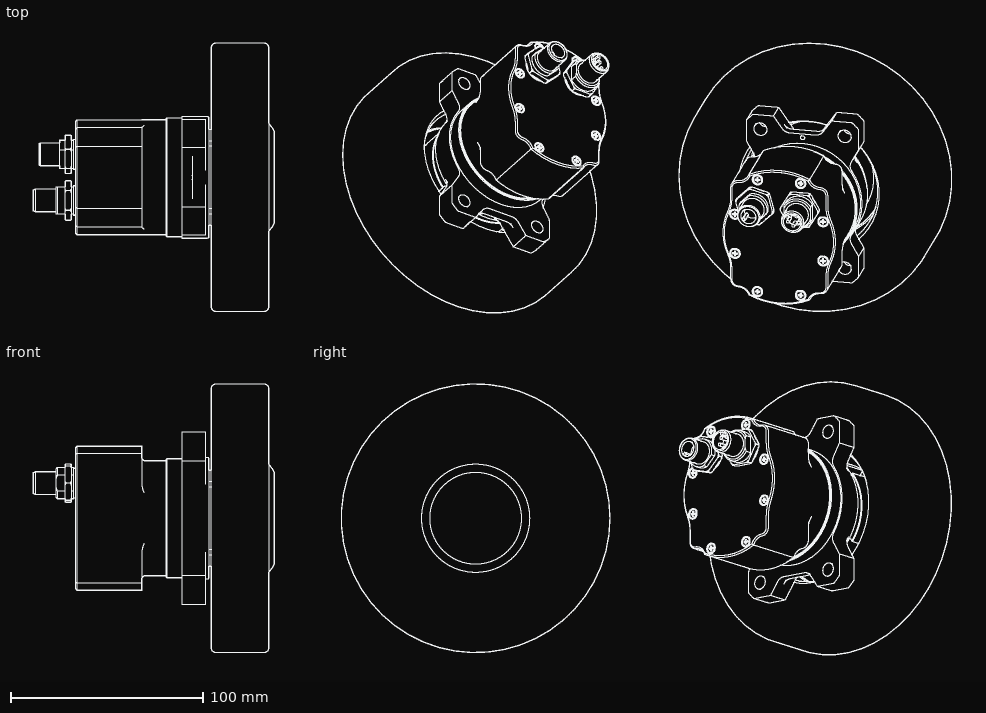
import cadquery as cq
import math


WHEEL_RADIUS = 70.0
WHEEL_WIDTH = 30.0
WHEEL_EDGE_FILLET = 2.5
RECESS_RIM_RADIUS = 37.5
RECESS_WALL_RADIUS = 36.0
RECESS_RIM_DEPTH = 3.0
RECESS_DEPTH = 20.0
RECESS_FLOOR_GROOVE_WIDTH = 0.9
RECESS_FLOOR_GROOVE_DEPTH = 1.0
CAP_BASE_RADIUS = 28.2
CAP_BEND_RADIUS = 25.6
CAP_FACE_RADIUS = 23.9
CAP_BEND_HEIGHT = 2.0
CAP_HEIGHT = 2.9

HUB_RADIUS = 30.0
HUB_FRONT_X = 3.6
HUB_CHAMFER = 0.3
NECK_RADIUS = 25.0
HUB_GROOVE_COUNT = 4
HUB_GROOVE_DIAMETER = 8.0
HUB_GROOVE_CIRCLE_RADIUS = 28.4

FLANGE_BACK_X = -1.2
FLANGE_FRONT_X = -15.2
FLANGE_RADIUS = 31.75
FLANGE_EDGE_FILLET = 0.8
LUG_THICKNESS = 12.3
LUG_SPAN_Y = 60.0
LUG_SPAN_Z = 90.0
LUG_CORNER = 3.5
LUG_CORNER_FILLET = 1.2
LUG_ROOT_FILLET = 5.0
LUG_FLANK_TOP_Z = 29.8
LUG_FLANK_ANGLE = 60.0
LUG_HOLE_DIAMETER = 7.0
LUG_HOLE_SPACING_Y = 45.0
LUG_HOLE_SPACING_Z = 74.0
NOTCH_WIDTH = 31.0
NOTCH_FLANK_ANGLE = 55.0
NOTCH_TAB_Z = 36.3
NOTCH_FLOOR_Z = 31.5
NOTCH_TAB_THICKNESS = 5.4
TAB_HOLE_DIAMETER = 2.2
TAB_HOLE_Z = 34.2

HOUSING_FRONT_X = -70.7
COLLAR_FRONT_X = -23.4
COLLAR_RADIUS = 31.0
COLLAR_CHAMFER = 0.4
HOUSING_RADIUS = 30.0
HOUSING_EDGE_CHAMFER = 0.8
SHELL_RADIUS = 37.5
SHELL_BACK_X = -36.1
SHELL_BACK_FILLET = 1.7
SHELL_HALF_WIDTH = 25.9
SHELL_ARC_END_Y = 16.2
SHELL_SHOULDER_Z = 29.8
SHELL_SHOULDER_RADIUS = 6.0
SHELL_CORNER_RADIUS = 4.0
SHELL_FLANK_RADIUS = 20.0

SCREW_POSITIONS = [(11.5, 31.4), (23.5, 11.0)]
SCREW_RECESS_DIAMETER = 5.5
SCREW_HEAD_DIAMETER = 4.7
SCREW_RECESS_DEPTH = 0.8
SCREW_CROSS_LENGTH = 2.46
SCREW_CROSS_WIDTH = 0.6

CONNECTOR_Y = 12.0
CONNECTOR_Z = 18.3
CONNECTOR_DIAMETER = 12.0
NUT_FRONT_X = -76.1
NUT_BACK_X = -72.8
NUT_ACROSS_FLATS = 18.0
NUT_CORNER_DIAMETER = 20.7
NUT_CHAMFER = 0.5
COLLAR_BACK_X = -71.6
WASHER_DIAMETER = 15.6
BORE_DEPTH = 8.0
PIN_COUNT = 5
PIN_CIRCLE_RADIUS = 3.0
PIN_DIAMETER = 1.6
PIN_LENGTH = 5.0
KEY_WIDTH = 1.5
KEY_HEIGHT = 1.2


def plane_at(x):
    """Workplane normal to +X whose local axes are Y and Z."""
    return cq.Workplane("YZ", origin=(x, 0, 0))


def cylinder(x_start, x_end, diameter, y=0.0, z=0.0):
    return plane_at(x_start).center(y, z).circle(diameter / 2).extrude(x_end - x_start)


def revolve_about_x(points):
    """Solid of revolution from an outline of (x, radius) points."""
    return cq.Workplane("XY").polyline(points).close().revolve(360, (0, 0, 0), (1, 0, 0))


def make_wheel():
    """Filleted wheel with a deep recess in its motor side and a tapered cap on the other side."""
    wheel = cylinder(0, WHEEL_WIDTH, 2 * WHEEL_RADIUS).edges().fillet(WHEEL_EDGE_FILLET)
    floor_radius = RECESS_WALL_RADIUS - RECESS_FLOOR_GROOVE_WIDTH
    groove_bottom_x = RECESS_DEPTH + RECESS_FLOOR_GROOVE_DEPTH
    recess = revolve_about_x(
        [
            (0, 0),
            (0, RECESS_RIM_RADIUS),
            (RECESS_RIM_DEPTH, RECESS_WALL_RADIUS),
            (groove_bottom_x, RECESS_WALL_RADIUS),
            (groove_bottom_x, floor_radius),
            (RECESS_DEPTH, floor_radius),
            (RECESS_DEPTH, 0),
        ]
    )
    cap = revolve_about_x(
        [
            (WHEEL_WIDTH - CAP_HEIGHT, 0),
            (WHEEL_WIDTH - CAP_HEIGHT, CAP_BASE_RADIUS),
            (WHEEL_WIDTH, CAP_BASE_RADIUS),
            (WHEEL_WIDTH + CAP_BEND_HEIGHT, CAP_BEND_RADIUS),
            (WHEEL_WIDTH + CAP_HEIGHT, CAP_FACE_RADIUS),
            (WHEEL_WIDTH + CAP_HEIGHT, 0),
        ]
    )
    return wheel.cut(recess).union(cap)


def make_hub():
    """Stepped hub with round axial grooves on its diagonals."""
    body = cylinder(HUB_FRONT_X, RECESS_DEPTH, 2 * HUB_RADIUS)
    body = body.faces("<X").edges().chamfer(HUB_CHAMFER)
    neck = cylinder(FLANGE_BACK_X, HUB_FRONT_X, 2 * NECK_RADIUS)
    grooves = (
        plane_at(FLANGE_BACK_X)
        .polarArray(HUB_GROOVE_CIRCLE_RADIUS, 45, 360, HUB_GROOVE_COUNT)
        .circle(HUB_GROOVE_DIAMETER / 2)
        .extrude(RECESS_DEPTH - FLANGE_BACK_X)
    )
    return body.union(neck).cut(grooves)


def make_notch(x_start, x_end, floor_z):
    """Flared notch between the two upper lugs, rounded where its flanks meet the floor."""
    top_z = LUG_SPAN_Z / 2
    top_half = NOTCH_WIDTH / 2
    floor_half = top_half - (top_z - floor_z) / math.tan(math.radians(NOTCH_FLANK_ANGLE))
    outline = [(-top_half, top_z), (-floor_half, floor_z), (floor_half, floor_z), (top_half, top_z)]
    notch = plane_at(x_start).polyline(outline).close().extrude(x_end - x_start)
    return notch.edges("|X").edges("<Z").fillet(LUG_ROOT_FILLET)


def make_lug_plate():
    """Four-lug plate: the flanks run inwards from the lugs to end inside the flange disc."""
    side = LUG_SPAN_Y / 2
    top = LUG_SPAN_Z / 2
    inner_y = side - LUG_FLANK_TOP_Z / math.tan(math.radians(LUG_FLANK_ANGLE))
    outline = [
        (-side, LUG_FLANK_TOP_Z),
        (-side, top - LUG_CORNER),
        (-side + LUG_CORNER, top),
        (side - LUG_CORNER, top),
        (side, top - LUG_CORNER),
        (side, LUG_FLANK_TOP_Z),
        (inner_y, 0),
        (-inner_y, 0),
    ]
    upper = plane_at(FLANGE_FRONT_X).polyline(outline).close().extrude(LUG_THICKNESS)
    corners = cq.selectors.BoxSelector(
        (FLANGE_FRONT_X, -LUG_SPAN_Y, LUG_FLANK_TOP_Z + 1), (0, LUG_SPAN_Y, LUG_SPAN_Z)
    )
    upper = upper.edges("|X").edges(corners).fillet(LUG_CORNER_FILLET)
    tab_back_x = FLANGE_FRONT_X + NOTCH_TAB_THICKNESS
    lug_back_x = FLANGE_FRONT_X + LUG_THICKNESS
    upper = upper.cut(make_notch(FLANGE_FRONT_X, tab_back_x, NOTCH_TAB_Z))
    upper = upper.cut(make_notch(tab_back_x, lug_back_x, NOTCH_FLOOR_Z))
    return upper.union(upper.mirror("XY"))


def make_flange():
    lug_back_x = FLANGE_FRONT_X + LUG_THICKNESS
    disc = cylinder(FLANGE_FRONT_X, lug_back_x, 2 * FLANGE_RADIUS)
    flange = disc.union(make_lug_plate())
    lug_roots = cq.selectors.BoxSelector(
        (FLANGE_FRONT_X, -LUG_SPAN_Y / 2, -FLANGE_RADIUS * 0.75),
        (lug_back_x, LUG_SPAN_Y / 2, FLANGE_RADIUS * 0.75),
    )
    flange = flange.edges("|X").edges(lug_roots).fillet(LUG_ROOT_FILLET)
    rim = cylinder(lug_back_x, FLANGE_BACK_X, 2 * FLANGE_RADIUS)
    flange = flange.union(rim.faces(">X").edges().fillet(FLANGE_EDGE_FILLET))
    lug_holes = (
        plane_at(FLANGE_FRONT_X)
        .rect(LUG_HOLE_SPACING_Y, LUG_HOLE_SPACING_Z, forConstruction=True)
        .vertices()
        .circle(LUG_HOLE_DIAMETER / 2)
        .extrude(LUG_THICKNESS)
    )
    tab_hole = cylinder(
        FLANGE_FRONT_X, FLANGE_FRONT_X + NOTCH_TAB_THICKNESS, TAB_HOLE_DIAMETER, 0, TAB_HOLE_Z
    )
    return flange.cut(lug_holes).cut(tab_hole)


def arc_middle(center, radius, start, end):
    """Point halfway along the short arc from start to end."""
    dy = (start[0] + end[0]) / 2 - center[0]
    dz = (start[1] + end[1]) / 2 - center[1]
    reach = math.hypot(dy, dz)
    return (center[0] + radius * dy / reach, center[1] + radius * dz / reach)


def make_shell_prism(x_end):
    """Housing cross-section with large top and bottom arcs, stepped shoulders and flat flanks."""
    top = (0, SHELL_RADIUS)
    arc_end = (SHELL_ARC_END_Y, math.sqrt(SHELL_RADIUS**2 - SHELL_ARC_END_Y**2))
    corner_center = (SHELL_HALF_WIDTH - SHELL_CORNER_RADIUS, SHELL_SHOULDER_Z - SHELL_CORNER_RADIUS)
    shoulder = (corner_center[0], SHELL_SHOULDER_Z)
    shoulder_center = (corner_center[0], SHELL_SHOULDER_Z + SHELL_SHOULDER_RADIUS)
    corner_end = (SHELL_HALF_WIDTH, corner_center[1])
    flank_y = SHELL_HALF_WIDTH + SHELL_FLANK_RADIUS
    center_distance = HOUSING_RADIUS + SHELL_FLANK_RADIUS
    flank_center = (flank_y, math.sqrt(center_distance**2 - flank_y**2))
    flank_start = (SHELL_HALF_WIDTH, flank_center[1])
    shrink = HOUSING_RADIUS / center_distance
    flank_end = (flank_center[0] * shrink, flank_center[1] * shrink)
    side = (HOUSING_RADIUS, 0)
    quarter = (
        plane_at(HOUSING_FRONT_X)
        .moveTo(*top)
        .threePointArc(arc_middle((0, 0), SHELL_RADIUS, top, arc_end), arc_end)
        .threePointArc(
            arc_middle(shoulder_center, SHELL_SHOULDER_RADIUS, arc_end, shoulder), shoulder
        )
        .threePointArc(
            arc_middle(corner_center, SHELL_CORNER_RADIUS, shoulder, corner_end), corner_end
        )
        .lineTo(*flank_start)
        .threePointArc(
            arc_middle(flank_center, SHELL_FLANK_RADIUS, flank_start, flank_end), flank_end
        )
        .threePointArc(arc_middle((0, 0), HOUSING_RADIUS, flank_end, side), side)
    )
    return quarter.mirrorX().mirrorY().extrude(x_end - HOUSING_FRONT_X)


def make_shell():
    """Prism whose back end blends into the round housing through a revolved fillet."""
    blend_end_x = SHELL_BACK_X + SHELL_BACK_FILLET
    blend_radius = HOUSING_RADIUS + SHELL_BACK_FILLET
    diagonal = SHELL_BACK_FILLET * math.sqrt(0.5)
    envelope = (
        cq.Workplane("XY")
        .moveTo(HOUSING_FRONT_X, 0)
        .lineTo(HOUSING_FRONT_X, 2 * SHELL_RADIUS)
        .lineTo(SHELL_BACK_X, 2 * SHELL_RADIUS)
        .lineTo(SHELL_BACK_X, blend_radius)
        .threePointArc(
            (blend_end_x - diagonal, blend_radius - diagonal), (blend_end_x, HOUSING_RADIUS)
        )
        .lineTo(blend_end_x, 0)
        .close()
        .revolve(360, (0, 0, 0), (1, 0, 0))
    )
    prism = make_shell_prism(blend_end_x)
    prism = prism.faces("<X").edges().chamfer(HOUSING_EDGE_CHAMFER)
    return prism.intersect(envelope)


def cut_screws(body):
    """Sunk ring and cross recess of every cover screw, in all four quadrants."""
    for side_y in (1, -1):
        for side_z in (1, -1):
            for y, z in SCREW_POSITIONS:
                face = plane_at(HOUSING_FRONT_X).center(side_y * y, side_z * z)
                ring = face.circle(SCREW_RECESS_DIAMETER / 2).circle(SCREW_HEAD_DIAMETER / 2)
                body = body.cut(ring.extrude(SCREW_RECESS_DEPTH))
                for length, width in (
                    (SCREW_CROSS_LENGTH, SCREW_CROSS_WIDTH),
                    (SCREW_CROSS_WIDTH, SCREW_CROSS_LENGTH),
                ):
                    body = body.cut(face.rect(length, width).extrude(SCREW_RECESS_DEPTH))
    return body


def make_housing():
    blend_end_x = SHELL_BACK_X + SHELL_BACK_FILLET
    barrel = cylinder(blend_end_x, COLLAR_FRONT_X, 2 * HOUSING_RADIUS)
    collar = cylinder(COLLAR_FRONT_X, FLANGE_FRONT_X, 2 * COLLAR_RADIUS)
    collar = collar.faces("<X").edges().chamfer(COLLAR_CHAMFER)
    return cut_screws(make_shell()).union(barrel).union(collar)


def make_nut(y, turn):
    """Hexagon nut with its corners cut by a chamfered cylinder."""
    length = NUT_BACK_X - NUT_FRONT_X
    corner_circle = NUT_ACROSS_FLATS / math.cos(math.radians(30))
    hexagon = plane_at(NUT_FRONT_X).polygon(6, corner_circle).extrude(length)
    hexagon = hexagon.rotate((0, 0, 0), (1, 0, 0), turn).translate((0, y, CONNECTOR_Z))
    round_limit = cylinder(NUT_FRONT_X, NUT_BACK_X, NUT_CORNER_DIAMETER, y, CONNECTOR_Z)
    return hexagon.intersect(round_limit.edges().chamfer(NUT_CHAMFER))


def make_flatted_collar(y, front_x, diameter, across_flats, turn, chamfer):
    """Round collar with two opposite flats."""
    collar = cylinder(front_x, COLLAR_BACK_X, diameter)
    if chamfer:
        collar = collar.faces("<X").edges().chamfer(chamfer)
    flats = plane_at(front_x).rect(across_flats, 2 * diameter).extrude(COLLAR_BACK_X - front_x)
    collar = collar.intersect(flats.rotate((0, 0, 0), (1, 0, 0), turn))
    return collar.translate((0, y, CONNECTOR_Z))


def make_connector_base(y, tip_x, tip_chamfer, bore_diameter, key_turn):
    """Plug barrel with a keyed blind bore, and the washer under it."""
    barrel = cylinder(tip_x, HOUSING_FRONT_X, CONNECTOR_DIAMETER, y, CONNECTOR_Z)
    barrel = barrel.faces("<X").edges().chamfer(tip_chamfer, tip_chamfer / 2)
    bore = cylinder(tip_x, tip_x + BORE_DEPTH, bore_diameter)
    key = (
        plane_at(tip_x + tip_chamfer)
        .center(bore_diameter / 2, 0)
        .rect(2 * KEY_HEIGHT, KEY_WIDTH)
        .extrude(BORE_DEPTH)
        .rotate((0, 0, 0), (1, 0, 0), key_turn)
    )
    washer = cylinder(COLLAR_BACK_X, HOUSING_FRONT_X, WASHER_DIAMETER, y, CONNECTOR_Z)
    bore = bore.cut(key).translate((0, y, CONNECTOR_Z))
    thread_gap = cylinder(NUT_FRONT_X, COLLAR_BACK_X, CONNECTOR_DIAMETER, y, CONNECTOR_Z)
    return barrel.cut(bore).union(washer).union(thread_gap)


def make_socket_connector():
    """Connector on the +Y side, with an open bore."""
    y = CONNECTOR_Y
    base = make_connector_base(y, tip_x=-89.6, tip_chamfer=0.8, bore_diameter=8.0, key_turn=-40)
    collar = make_flatted_collar(
        y, front_x=-78.9, diameter=15.0, across_flats=13.2, turn=45, chamfer=0
    )
    return base.union(collar.cut(cylinder(-78.9, COLLAR_BACK_X, 8.0, y, CONNECTOR_Z))).union(
        make_nut(y, turn=15)
    )


def make_pin_connector():
    """Connector on the -Y side, with contact pins on the bore floor."""
    y = -CONNECTOR_Y
    tip_x = -92.7
    connector = make_connector_base(y, tip_x, tip_chamfer=1.2, bore_diameter=9.2, key_turn=90)
    collar = make_flatted_collar(
        y, front_x=-80.8, diameter=16.5, across_flats=14.2, turn=0, chamfer=0.8
    )
    floor_x = tip_x + BORE_DEPTH
    pins = (
        plane_at(floor_x - PIN_LENGTH)
        .center(y, CONNECTOR_Z)
        .polarArray(PIN_CIRCLE_RADIUS, -90, 360, PIN_COUNT)
        .circle(PIN_DIAMETER / 2)
        .extrude(PIN_LENGTH)
    )
    return connector.union(pins).union(collar).union(make_nut(y, turn=0))


result = (
    make_wheel()
    .union(make_hub())
    .union(make_flange())
    .union(make_housing())
    .union(make_socket_connector())
    .union(make_pin_connector())
)